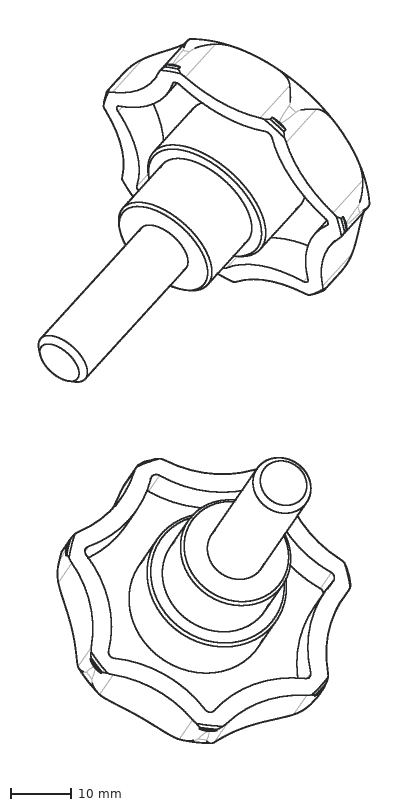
import math

import cadquery as cq


lobe_count = 7
lobe_pitch = 2 * math.pi / lobe_count
lobe_centre_radius = 21.0
lobe_radius = 4.0
flute_radius = 20.0
head_radius = lobe_centre_radius + lobe_radius

head_height = 15.0
dome_radius = 70.0
shoulder_radius = 8.0
side_draft = math.radians(1)
relief_height = 1.1
relief_depth = 0.25
relief_radius = head_radius - relief_depth
rim_chamfer_height = 0.55
rim_radius = 24.4

cavity_tip_radius = 1.0
cavity_depth = 7.0

collar_diameter = 24.0
collar_end = -5.0
hub_diameter = 19.0
hub_end = -17.0
pin_diameter = 10.0
pin_end = -47.0
hub_chamfer = 0.5
pin_chamfer = 1.0


def polar(radius, angle):
    """Point in the XZ plane, with the angle measured from -Z toward +X."""
    return (radius * math.sin(angle), -radius * math.cos(angle))


def along(start, angle, distance):
    """Point at a distance from start in the direction of an angle from the first axis."""
    return (start[0] + distance * math.cos(angle), start[1] + distance * math.sin(angle))


def toward(start, end, distance):
    """Point at a distance from start along the line to end."""
    return along(start, math.atan2(end[1] - start[1], end[0] - start[0]), distance)


def lobed_prism(tip_arc_radius, height):
    """Prism from y = 0 to y = height, with convex tip arcs tangent to concave flutes."""
    half_pitch = lobe_pitch / 2
    centre_distance = tip_arc_radius + flute_radius
    flute_centre_radius = lobe_centre_radius * math.cos(half_pitch) + math.sqrt(
        centre_distance**2 - (lobe_centre_radius * math.sin(half_pitch)) ** 2
    )
    tip_radius = lobe_centre_radius + tip_arc_radius
    valley_radius = flute_centre_radius - flute_radius

    def tangent_point(lobe_angle, flute_angle):
        lobe_centre = polar(lobe_centre_radius, lobe_angle)
        flute_centre = polar(flute_centre_radius, flute_angle)
        return toward(lobe_centre, flute_centre, tip_arc_radius)

    outline = cq.Workplane("XZ").moveTo(*tangent_point(0, -half_pitch))
    for index in range(lobe_count):
        lobe_angle = index * lobe_pitch
        flute_angle = lobe_angle + half_pitch
        next_lobe_angle = lobe_angle + lobe_pitch
        outline = outline.threePointArc(
            polar(tip_radius, lobe_angle), tangent_point(lobe_angle, flute_angle)
        )
        outline = outline.threePointArc(
            polar(valley_radius, flute_angle), tangent_point(next_lobe_angle, flute_angle)
        )
    return outline.close().extrude(-height)


def turned_head():
    """Domed body of revolution that bounds the head."""
    dome_centre = (0, head_height - dome_radius)

    side_rise = relief_height - dome_centre[1]
    side_distance = head_radius * math.cos(side_draft) + side_rise * math.sin(side_draft)
    centre_gap = dome_radius - shoulder_radius
    dome_edge_angle = side_draft + math.acos((side_distance - shoulder_radius) / centre_gap)
    shoulder_centre = along(dome_centre, dome_edge_angle, centre_gap)

    shoulder_start = along(shoulder_centre, side_draft, shoulder_radius)
    shoulder_middle = along(shoulder_centre, (side_draft + dome_edge_angle) / 2, shoulder_radius)
    dome_edge = along(dome_centre, dome_edge_angle, dome_radius)
    dome_middle = along(dome_centre, (dome_edge_angle + math.pi / 2) / 2, dome_radius)

    return (
        cq.Workplane("XY")
        .lineTo(rim_radius, 0)
        .lineTo(relief_radius, rim_chamfer_height)
        .lineTo(relief_radius, relief_height)
        .lineTo(head_radius, relief_height)
        .lineTo(*shoulder_start)
        .threePointArc(shoulder_middle, dome_edge)
        .threePointArc(dome_middle, (0, head_height))
        .close()
        .revolve(360, (0, 0), (0, 1))
    )


def stepped_cylinder(diameter, start, end, chamfer):
    """Cylinder on the Y axis from start down to end, chamfered at end."""
    return (
        cq.Workplane("XZ", origin=(0, start, 0))
        .circle(diameter / 2)
        .extrude(start - end)
        .faces("<Y")
        .chamfer(chamfer)
    )


head = lobed_prism(lobe_radius, head_height).intersect(turned_head())
head = head.cut(lobed_prism(cavity_tip_radius, cavity_depth))

collar = stepped_cylinder(collar_diameter, cavity_depth, collar_end, hub_chamfer)
hub = stepped_cylinder(hub_diameter, collar_end, hub_end, hub_chamfer)
pin = stepped_cylinder(pin_diameter, hub_end, pin_end, pin_chamfer)

result = head.union(collar).union(hub).union(pin)